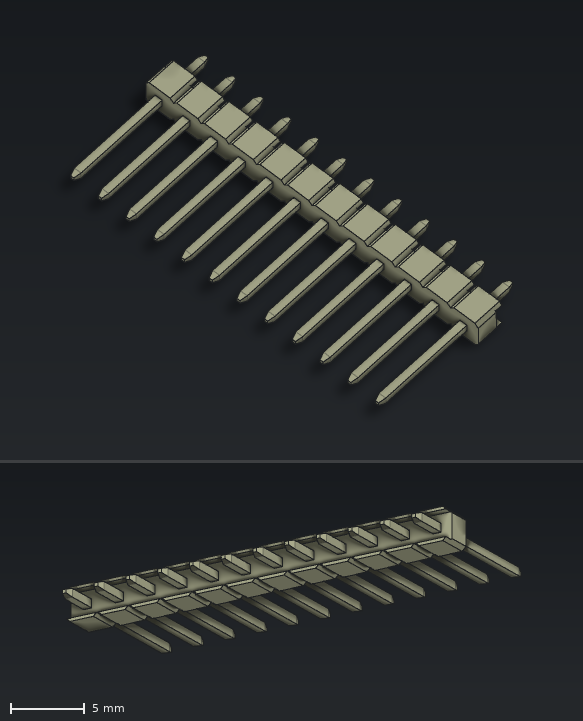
import cadquery as cq

pin_count = 12
body_length = 30.48
pitch = body_length / pin_count
body_depth = 2.5
body_height = 2.5
corner_chamfer = 0.3

channel_depth = 0.67
lip_thickness = 0.25
channel_height = body_height - 2 * lip_thickness

pin_width = 0.65
pin_length = 13.6
pin_back_projection = 2.35
pin_shift = -0.1
tip_length = 0.55
tip_width = 0.3

body_back = body_depth / 2
pin_back = body_back + pin_back_projection
pin_front = pin_back - pin_length


def cell_center(index):
    """X position of the middle of a cell."""
    return (index - (pin_count - 1) / 2) * pitch


def make_cell(index):
    """One block of the strip, with its four long edges chamfered."""
    block = cq.Workplane("XY").box(pitch, body_depth, body_height)
    return block.edges("|Y").chamfer(corner_chamfer).translate((cell_center(index), 0, 0))


def make_tip(base_y, direction):
    """Tapered pin end that starts at base_y and narrows along +Y or -Y."""
    normal = (0, direction, 0)
    base = cq.Plane(origin=(0, base_y, 0), xDir=(1, 0, 0), normal=normal)
    return (
        cq.Workplane(base)
        .rect(pin_width, pin_width)
        .workplane(offset=tip_length)
        .rect(tip_width, tip_width)
        .loft(ruled=True)
    )


def make_pin():
    """Square pin centred on X = 0, tapered at both ends."""
    shank_length = pin_length - 2 * tip_length
    shank = cq.Workplane("XY").box(pin_width, shank_length, pin_width)
    shank = shank.translate((0, (pin_front + pin_back) / 2, 0))
    back_tip = make_tip(pin_back - tip_length, 1)
    front_tip = make_tip(pin_front + tip_length, -1)
    return shank.union(back_tip).union(front_tip)


body = make_cell(0)
for cell in range(1, pin_count):
    body = body.union(make_cell(cell))

channel = cq.Workplane("XY").box(body_length, channel_depth, channel_height)
body = body.cut(channel.translate((0, body_back - channel_depth / 2, 0)))

pin = make_pin()
result = body
for cell in range(pin_count):
    result = result.union(pin.translate((cell_center(cell) + pin_shift, 0, 0)))